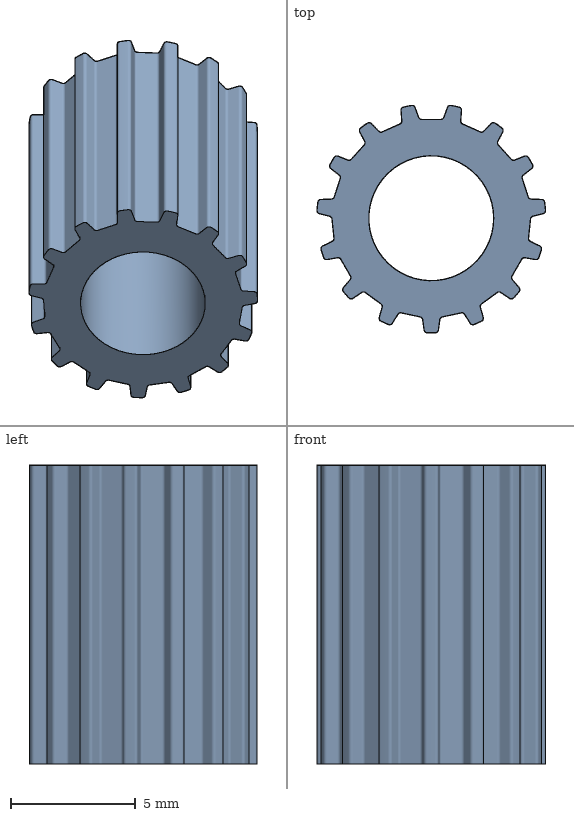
import cadquery as cq
import math

length = 12.0
outer_diameter = 9.2
bore_diameter = 5.0
tooth_count = 15
groove_floor_distance = 3.97
groove_floor_width = 0.95
flank_angle = 20.0
tip_radius = 0.13
root_radius = 0.12

outer_radius = outer_diameter / 2
tooth_pitch_angle = 360 / tooth_count
cutter_top = outer_radius + tip_radius
cutter_height = cutter_top - groove_floor_distance
cutter_top_width = groove_floor_width + 2 * cutter_height * math.tan(math.radians(flank_angle))


def make_groove():
    """Trapezoidal groove cutter with rounded floor corners, centred on +Y."""
    return (
        cq.Workplane("XY")
        .moveTo(-groove_floor_width / 2, groove_floor_distance)
        .lineTo(groove_floor_width / 2, groove_floor_distance)
        .lineTo(cutter_top_width / 2, cutter_top)
        .lineTo(-cutter_top_width / 2, cutter_top)
        .close()
        .extrude(length)
        .faces("<Y")
        .edges("|Z")
        .fillet(root_radius)
    )


def cut_grooves(body):
    """Cut the tooth spaces evenly around the axis."""
    groove = make_groove()
    for index in range(tooth_count):
        body = body.cut(groove.rotate((0, 0, 0), (0, 0, 1), index * tooth_pitch_angle))
    return body


def round_tooth_tips(body):
    """Round both long edges of every tooth; only these lie on the outer cylinder."""
    tip_edges = [
        edge
        for edge in body.edges("|Z").vals()
        if math.isclose(math.hypot(edge.Center().x, edge.Center().y), outer_radius, rel_tol=1e-4)
    ]
    return body.newObject(tip_edges).fillet(tip_radius)


def cut_bore(body):
    """Cut the plain bore right through."""
    return body.cut(cq.Workplane("XY").circle(bore_diameter / 2).extrude(length))


blank = cq.Workplane("XY").circle(outer_radius).extrude(length).rotate((0, 0, 0), (0, 0, 1), 90)
result = cut_bore(round_tooth_tips(cut_grooves(blank)))